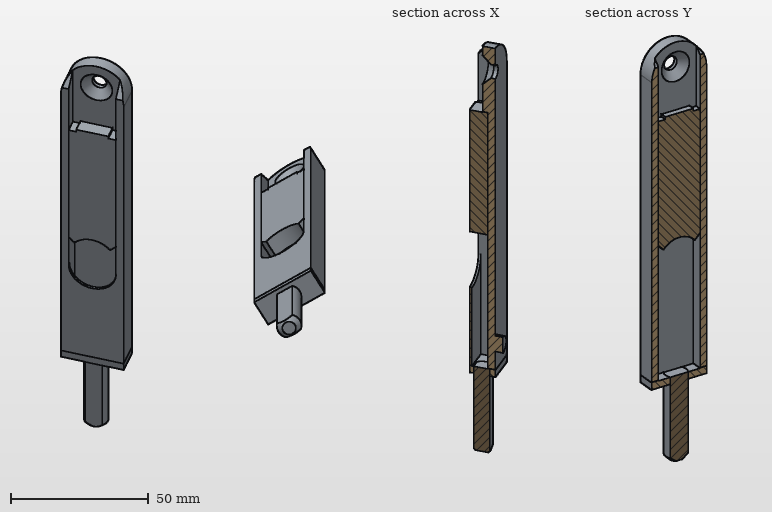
import cadquery as cq
import math

total_height = 170.0
case_width = 24.0
case_depth = 10.0
front_y = 0.0
back_y = front_y + case_depth
mid_y = (front_y + back_y) / 2

plate_bottom_z = 32.1
plate_thickness = 3.0
housing_bottom_z = plate_bottom_z + plate_thickness
crown_radius = case_width / 2
crown_center_z = total_height - crown_radius

channel_width = 18.0
channel_radius = channel_width / 2
channel_depth = case_depth / 2
channel_bottom_z = 68.0
channel_center_z = channel_bottom_z + channel_radius
cavity_depth = 7.0
front_skin = 1.0

screw_z = 160.0
screw_diameter = 5.5
countersink_diameter = 12.0
countersink_angle = 90.0

peg_diameter = 6.8
peg_length = 2.9
peg_z = 46.2

tongue_width = 12.2
tongue_top_z = 142.3
tongue_height = 1.0
shoulder_z = tongue_top_z - tongue_height
thumb_notch_radius = 9.0
thumb_notch_top_z = 91.1
slider_tip_x = 6.8
slider_corner_cut = channel_radius - slider_tip_x

rod_diameter = 9.0
rod_across_flats = 6.3
rod_tip_chamfer = 2.0
rod_y = 4.8


def front_plane(y):
    """XZ plane at depth y; positive extrusion runs toward -Y."""
    return cq.Workplane("XZ", origin=(0, y, 0))


def channel_tool():
    """Round-bottomed channel cut from the front face and open at the crown."""
    return (
        front_plane(front_y)
        .moveTo(-channel_radius, total_height)
        .lineTo(-channel_radius, channel_center_z)
        .threePointArc((0, channel_bottom_z), (channel_radius, channel_center_z))
        .lineTo(channel_radius, total_height)
        .close()
        .extrude(-channel_depth)
    )


def cavity_tool():
    """Straight cavity behind the thin front skin, from the end plate up to the slider shoulders."""
    cavity_height = shoulder_z - housing_bottom_z
    return (
        front_plane(front_y + front_skin)
        .center(0, housing_bottom_z + cavity_height / 2)
        .rect(channel_width, cavity_height)
        .extrude(front_skin - cavity_depth)
    )


def make_tongue():
    """Narrow step along the top end of the slider."""
    return (
        front_plane(front_y)
        .center(0, shoulder_z + tongue_height / 2)
        .rect(tongue_width, tongue_height)
        .extrude(-cavity_depth)
    )


def crown_bevel_tool():
    """45-degree wedge sloping both side walls back from the crown."""
    wall_top_z = crown_center_z + math.sqrt(crown_radius**2 - channel_radius**2)
    return (
        cq.Workplane("YZ")
        .moveTo(front_y, wall_top_z - channel_depth)
        .lineTo(mid_y, wall_top_z)
        .lineTo(mid_y, total_height)
        .lineTo(front_y, total_height)
        .close()
        .extrude(case_width / 2, both=True)
    )


def make_housing():
    body = (
        front_plane(front_y)
        .moveTo(-case_width / 2, housing_bottom_z)
        .lineTo(case_width / 2, housing_bottom_z)
        .lineTo(case_width / 2, crown_center_z)
        .threePointArc((0, total_height), (-case_width / 2, crown_center_z))
        .close()
        .extrude(-case_depth)
    )
    body = body.cut(channel_tool())
    body = body.cut(cavity_tool()).cut(make_tongue())
    body = body.cut(crown_bevel_tool())
    body = (
        body.copyWorkplane(front_plane(mid_y))
        .center(0, screw_z)
        .cskHole(screw_diameter, countersink_diameter, countersink_angle)
    )
    peg = front_plane(back_y).center(0, peg_z).circle(peg_diameter / 2).extrude(-peg_length)
    return body.union(peg)


def make_slider():
    """Thumb slider with a tongue on top and a concave lower end between two tips."""
    notch_center_z = thumb_notch_top_z - thumb_notch_radius
    tip_z = notch_center_z + math.sqrt(thumb_notch_radius**2 - slider_tip_x**2)
    corner_z = tip_z + slider_corner_cut
    body = (
        front_plane(front_y)
        .moveTo(-channel_radius, shoulder_z)
        .lineTo(-channel_radius, corner_z)
        .lineTo(-slider_tip_x, tip_z)
        .threePointArc((0, thumb_notch_top_z), (slider_tip_x, tip_z))
        .lineTo(channel_radius, corner_z)
        .lineTo(channel_radius, shoulder_z)
        .close()
        .extrude(-cavity_depth)
    )
    return body.union(make_tongue())


def make_rod():
    """Round rod with front and back flats and a chamfered tip, ending at the top of the end plate."""
    round_rod = (
        cq.Workplane("XY", origin=(0, rod_y, 0))
        .circle(rod_diameter / 2)
        .extrude(housing_bottom_z)
        .faces("<Z")
        .chamfer(rod_tip_chamfer)
    )
    flats = (
        cq.Workplane("XY", origin=(0, rod_y, 0))
        .rect(rod_diameter, rod_across_flats)
        .extrude(housing_bottom_z)
    )
    return round_rod.intersect(flats)


def make_end_plate(rod_body):
    """Plate closing the bottom of the housing, with a hole matching the rod."""
    plate = (
        cq.Workplane("XY", origin=(0, mid_y, plate_bottom_z))
        .rect(case_width, case_depth)
        .extrude(plate_thickness)
    )
    return plate.cut(rod_body)


housing = make_housing()
slider = make_slider()
rod = make_rod()
end_plate = make_end_plate(rod)

result = cq.Compound.makeCompound([housing.val(), slider.val(), rod.val(), end_plate.val()])